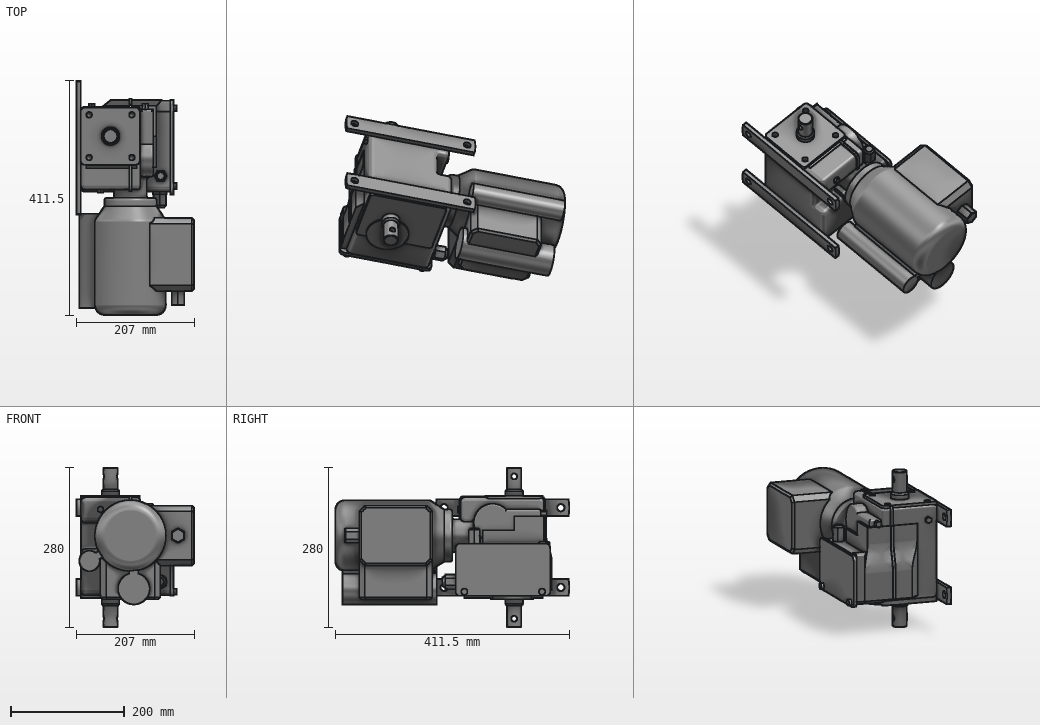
import cadquery as cq
import math

SHAFT_DIAMETER = 25.5
SHAFT_LENGTH = 280
SHAFT_END_CHAMFER = 1
COLLAR_DIAMETER = 31.5
COLLAR_REACH = 102.5
COLLAR_CHAMFER_HEIGHT = 3.5
COLLAR_CHAMFER_WIDTH = 2.9
CROSS_HOLE_DIAMETER = 10
CROSS_HOLE_Z = 125

BAR_THICKNESS = 8
BAR_HEIGHT = 30
BAR_LENGTH = 235
BAR_END_BULGE = 1.5
BAR_CENTER_Y = -20.5
BAR_Z = 70
BAR_HOLE_SPACING = 205
BAR_HOLE_DIAMETER = 12.5

CASE_LEFT = -52
CASE_RIGHT = 52.5
CASE_BACK = 52
CASE_FRONT_UPPER = -94
CASE_FRONT_LOWER = -98
CASE_TOP = 88
CASE_BOTTOM = -84
CASE_FILLET = 9
CASE_TOP_FILLET = 7
CASE_RIGHT_FILLET = 6
CASE_SIDE_FILLET = 8
NOTCH_BOTTOM = -2.5
NOTCH_TOP = 43.5
NOTCH_WALL_Y = -72
NOTCH_CORNER_RADIUS = 4

TOP_FACE_Z = 91
BOTTOM_FACE_Z = -89
PAD_X = (-52, 51)
PAD_BACK = 50
TOP_PAD_FRONT = -50
BOTTOM_PAD_FRONT = -88
PAD_CORNER_RADIUS = 6
PAD_BURIED_Z = 76
PAD_BLEND_SHOULDER = (2, 1)
PAD_BLEND_REACH = 6
BOLT_HOLE_SPACING = 75
BOLT_HOLE_DIAMETER = 10
BOLT_HOLE_DEPTH = 15
DRILL_TIP_ANGLE = 31

BOTTOM_BOSS_RADIUS = 37.5
BOTTOM_BOSS_CENTER = (35, -3.5)
BOTTOM_BOSS_Z = -91

BULGE_BASE_X = (-14, 80)
BULGE_BACK_X = (0.5, 90)
BULGE_TOP = 55
BULGE_CURVE_TOP = 25
BULGE_CURVE_BOTTOM = -25
BULGE_BOTTOM = -75
BULGE_UPPER_HEIGHT = 1.5

SEAM_RIB_X = 32.5
SEAM_RIB_WIDTH = 5
SEAM_RIB_HEIGHT = 2.5

HOUSING_RIGHT = 105
HOUSING_FRONT = -98
HOUSING_LEFT = 45
HOUSING_NOTCH_LEFT = 0
HOUSING_BOTTOM = -84
HOUSING_TOP = 6
HOUSING_FILLET = 9.5
RIDGE_FRONT = 43
RIDGE_BACK = 62.5
RIDGE_TOP = 10
RIDGE_FILLET = 3
COVER_THICKNESS = 6
COVER_BACK = 63.5
COVER_FRONT = -103
COVER_BOTTOM = -85
COVER_TOP = 7
COVER_CORNER_RADIUS = 8
COVER_SCREW_RADIUS = 5.5
COVER_SCREW_HEIGHT = 5
COVER_SCREW_Y = (49, -87.5)
COVER_SCREW_Z = -77.5

BEARING_BOSS_RADIUS = 33
BEARING_BOSS_Y = -38
BEARING_BOSS_Z = 44
BEARING_BOSS_RIGHT = 75
BEARING_BOSS_FILLET = 3
SHOULDER_BACK = 47
SHOULDER_TOP = 67
SHOULDER_FILLET = 3.5
STEP_RIGHT = 80
STEP_FRONT = -55
STEP_TOP = 30

MOTOR_X = 35
MOTOR_Z = 21
MOTOR_RADIUS = 62.5
MOTOR_END_Y = -314.5
MOTOR_END_FILLET = 18
MOTOR_CONE_START_Y = -150
MOTOR_CONE_LIP_Y = -146.5
MOTOR_CONE_LIP_RADIUS = 61.5
FLANGE_RADIUS = 46
FLANGE_REAR_Y = -123
FLANGE_FACE_Y = -108.5
FLANGE_FILLET = 4.5
NECK_RADIUS = 29
NECK_FILLET = 2.5
NECK_ROOT_FILLET = 5
NECK_BURIED_Y = -60

TERMINAL_BOX_WIDTH = 105.5
TERMINAL_BOX_LENGTH = 128.5
TERMINAL_BOX_REACH = 112
TERMINAL_BOX_CENTER_Y = -208
TERMINAL_BOX_CORNER_CHAMFER = 10
TERMINAL_BOX_LID_CHAMFER = 4

TUBE_FRONT_Y = -302
TUBE_BACK_Y = -136
SMALL_TUBE_RADIUS = 18
SMALL_TUBE_CENTER = (-37, -23.5)
LARGE_TUBE_RADIUS = 27.8
LARGE_TUBE_CENTER = (41, -72.3)
SMALL_TUBE_WEB = 13
LARGE_TUBE_WEB = 16

HEX_TURN = 30
GLAND_FLATS = 22.5
MOTOR_GLAND_X = 118.5
MOTOR_GLAND_LENGTH = 25
MOTOR_GLAND_CHAMFER = 1
CASE_GLAND_X = 86.5
CASE_GLAND_Z = -60
CASE_GLAND_LENGTH = 23
CASE_GLAND_NOSE_LENGTH = 5
CASE_GLAND_COLLAR_RADIUS = 12
CASE_GLAND_COLLAR_LENGTH = 4.5
CASE_GLAND_NOSE_RADIUS = 7.5
PLUG_FLATS = 19
PLUG_CENTER = (88, -70)
PLUG_TOP = 34
PLUG_NOSE_RADIUS = 6.5
PLUG_NOSE_LENGTH = 3
CASE_BOLT_FLATS = 10
FRONT_BOLT_X = -17.5
FRONT_BOLT_Z = 67
REAR_BOLT_X = (-33, 61)
BOLT_HEAD_HEIGHT = 5
REAR_BOLT_Z = 60
REAR_BOLT_BURIED_Y = 40


def block(x_range, y_range, z_range):
    """Axis-aligned box between the given limits."""
    sizes = [high - low for low, high in (x_range, y_range, z_range)]
    corner = (x_range[0], y_range[0], z_range[0])
    return cq.Workplane("XY").box(*sizes, centered=False).translate(corner)


def cylinder(start, direction, radius, length):
    solid = cq.Solid.makeCylinder(radius, length, cq.Vector(*start), cq.Vector(*direction))
    return cq.Workplane(obj=solid)


def hex_prism_y(x, z, start_y, flats, length, chamfer=0.0):
    """Hexagonal prism pointing toward -Y, with flats on its +X and -X sides."""
    prism = (
        cq.Workplane("XZ", origin=(x, start_y, z))
        .transformed(rotate=(0, 0, HEX_TURN))
        .polygon(6, flats / math.cos(math.radians(HEX_TURN)))
        .extrude(length)
    )
    return prism.faces("<Y").chamfer(chamfer) if chamfer else prism


def make_bar(z):
    half_straight = BAR_LENGTH / 2 - BAR_END_BULGE
    half_length = BAR_LENGTH / 2
    half_height = BAR_HEIGHT / 2
    return (
        cq.Workplane("YZ", origin=(CASE_LEFT - BAR_THICKNESS, BAR_CENTER_Y, z))
        .moveTo(-half_straight, -half_height)
        .lineTo(half_straight, -half_height)
        .threePointArc((half_length, 0), (half_straight, half_height))
        .lineTo(-half_straight, half_height)
        .threePointArc((-half_length, 0), (-half_straight, -half_height))
        .close()
        .extrude(BAR_THICKNESS)
        .faces("<X")
        .workplane(origin=(0, BAR_CENTER_Y, z))
        .pushPoints([(-BAR_HOLE_SPACING / 2, 0), (BAR_HOLE_SPACING / 2, 0)])
        .hole(BAR_HOLE_DIAMETER)
    )


def make_case():
    """Gear case with a notch that clears the motor neck, rounded along its outer edges."""
    profile = [
        (CASE_BACK, CASE_BOTTOM),
        (CASE_BACK, CASE_TOP),
        (CASE_FRONT_UPPER, CASE_TOP),
        (CASE_FRONT_UPPER, NOTCH_TOP),
        (NOTCH_WALL_Y, NOTCH_TOP),
        (NOTCH_WALL_Y, NOTCH_BOTTOM),
        (CASE_FRONT_LOWER, NOTCH_BOTTOM),
        (CASE_FRONT_LOWER, CASE_BOTTOM),
    ]
    case = (
        cq.Workplane("YZ", origin=(CASE_LEFT, 0, 0))
        .polyline(profile)
        .close()
        .extrude(CASE_RIGHT - CASE_LEFT)
    )
    middle_x = (CASE_LEFT + CASE_RIGHT) / 2
    inner = [(middle_x, NOTCH_WALL_Y, z) for z in (NOTCH_TOP, NOTCH_BOTTOM)]
    for point in inner:
        case = case.edges(cq.selectors.NearestToPointSelector(point)).fillet(NOTCH_CORNER_RADIUS)
    outer = [(y, z) for y, z in profile if y != NOTCH_WALL_Y]
    for y, z in outer:
        radius = CASE_TOP_FILLET if z == CASE_TOP else CASE_FILLET
        case = case.edges(cq.selectors.NearestToPointSelector((middle_x, y, z))).fillet(radius)
    right_top_edge = (CASE_RIGHT, 0, CASE_TOP)
    case = case.edges(cq.selectors.NearestToPointSelector(right_top_edge)).fillet(CASE_RIGHT_FILLET)
    return case.faces("<X").edges().fillet(CASE_SIDE_FILLET)


def make_pad(front, buried_z, face_z):
    """Flat mounting pad with rounded corners, sunk into the case."""
    z_range = (min(buried_z, face_z), max(buried_z, face_z))
    return block(PAD_X, (front, PAD_BACK), z_range).edges("|Z").fillet(PAD_CORNER_RADIUS)


def make_pad_blend():
    """Concave blend that carries the front edge of the top pad down onto the case."""
    shoulder_reach, shoulder_drop = PAD_BLEND_SHOULDER
    height = TOP_FACE_Z - CASE_TOP
    shoulder = (TOP_PAD_FRONT - shoulder_reach, TOP_FACE_Z - shoulder_drop)
    blend_end = (TOP_PAD_FRONT - PAD_BLEND_REACH, CASE_TOP)
    return (
        cq.Workplane("YZ", origin=(CASE_LEFT + CASE_FILLET, 0, 0))
        .moveTo(TOP_PAD_FRONT, CASE_TOP - height)
        .lineTo(TOP_PAD_FRONT, TOP_FACE_Z)
        .lineTo(*shoulder)
        .radiusArc(blend_end, -PAD_BLEND_REACH)
        .lineTo(blend_end[0], CASE_TOP - height)
        .close()
        .extrude(CASE_RIGHT - CASE_RIGHT_FILLET - CASE_LEFT - CASE_FILLET)
    )


def make_bolt_holes():
    """Blind drilled holes in the top face, each with a conical tip."""
    radius = BOLT_HOLE_DIAMETER / 2
    tip_depth = radius * math.tan(math.radians(DRILL_TIP_ANGLE))
    hole = (
        cq.Workplane("XZ")
        .polyline([(0, 0), (radius, 0), (radius, -BOLT_HOLE_DEPTH), (0, -BOLT_HOLE_DEPTH - tip_depth)])
        .close()
        .revolve(360, (0, 0), (0, 1))
    )
    holes = cq.Workplane("XY")
    for x in (-BOLT_HOLE_SPACING / 2, BOLT_HOLE_SPACING / 2):
        for y in (-BOLT_HOLE_SPACING / 2, BOLT_HOLE_SPACING / 2):
            holes = holes.add(hole.translate((x, y, TOP_FACE_Z)))
    return holes.combine()


def make_shaft():
    shaft = (
        cq.Workplane("XY")
        .circle(SHAFT_DIAMETER / 2)
        .extrude(SHAFT_LENGTH / 2, both=True)
        .faces("<Z or >Z")
        .chamfer(SHAFT_END_CHAMFER)
    )
    collar = (
        cq.Workplane("XY")
        .circle(COLLAR_DIAMETER / 2)
        .extrude(COLLAR_REACH, both=True)
        .faces("<Z or >Z")
        .chamfer(COLLAR_CHAMFER_HEIGHT, COLLAR_CHAMFER_WIDTH)
    )
    shaft = shaft.union(collar)
    for z in (-CROSS_HOLE_Z, CROSS_HOLE_Z):
        hole_start = (-SHAFT_DIAMETER, 0, z)
        shaft = shaft.cut(cylinder(hole_start, (1, 0, 0), CROSS_HOLE_DIAMETER / 2, 2 * SHAFT_DIAMETER))
    return shaft


def bulge_side(raise_by):
    """Solid with the curved side outline of the rear cover, its back raised by a given amount."""
    upper_y = CASE_BACK + BULGE_UPPER_HEIGHT + raise_by
    lower_y = COVER_BACK + raise_by
    return (
        cq.Workplane("YZ", origin=(CASE_LEFT, 0, 0))
        .moveTo(0, BULGE_TOP)
        .lineTo(upper_y, BULGE_TOP)
        .lineTo(upper_y, BULGE_CURVE_TOP)
        .spline([(lower_y, BULGE_CURVE_BOTTOM)], tangents=[(0, -1), (0, -1)], includeCurrent=True)
        .lineTo(lower_y, BULGE_BOTTOM)
        .lineTo(0, BULGE_BOTTOM)
        .close()
        .extrude(HOUSING_RIGHT - CASE_LEFT)
    )


def make_rear_bulge():
    """Raised cover on the back of the case: a plan outline crossed with a curved side outline."""
    plan = (
        cq.Workplane("XY", origin=(0, 0, BULGE_BOTTOM))
        .moveTo(BULGE_BASE_X[0], 0)
        .lineTo(BULGE_BASE_X[0], CASE_BACK)
        .lineTo(BULGE_BACK_X[0], COVER_BACK)
        .lineTo(BULGE_BACK_X[1], COVER_BACK)
        .lineTo(BULGE_BASE_X[1], CASE_BACK)
        .lineTo(BULGE_BASE_X[1], 0)
        .close()
        .extrude(BULGE_TOP - BULGE_BOTTOM)
    )
    return plan.intersect(bulge_side(0))


def make_seam_rib():
    """Thin parting rib around the top, front and back of the case."""
    rib_x = (SEAM_RIB_X, SEAM_RIB_X + SEAM_RIB_WIDTH)
    case_rib = block(
        rib_x,
        (CASE_FRONT_UPPER - SEAM_RIB_HEIGHT, CASE_BACK + SEAM_RIB_HEIGHT),
        (NOTCH_TOP, CASE_TOP + SEAM_RIB_HEIGHT),
    ).edges("|X").fillet(CASE_FILLET)
    slice_block = block(rib_x, (0, COVER_BACK + SEAM_RIB_HEIGHT), (BULGE_BOTTOM, BULGE_TOP))
    return case_rib.union(bulge_side(SEAM_RIB_HEIGHT).intersect(slice_block))


def make_side_housing():
    """Housing beside the case with its cover plate, bearing boss, shoulder, step and rear ridge."""
    buried_bottom = HOUSING_BOTTOM + HOUSING_FILLET
    housing = (
        block((HOUSING_LEFT, HOUSING_RIGHT), (HOUSING_FRONT, CASE_BACK), (HOUSING_BOTTOM, HOUSING_TOP))
        .edges("|X")
        .fillet(HOUSING_FILLET)
    )
    cover = (
        block(
            (HOUSING_RIGHT, HOUSING_RIGHT + COVER_THICKNESS),
            (COVER_FRONT, COVER_BACK),
            (COVER_BOTTOM, COVER_TOP),
        )
        .edges("|X")
        .fillet(COVER_CORNER_RADIUS)
    )
    boss = cylinder(
        (CASE_RIGHT, BEARING_BOSS_Y, BEARING_BOSS_Z),
        (1, 0, 0),
        BEARING_BOSS_RADIUS,
        BEARING_BOSS_RIGHT - CASE_RIGHT,
    ).faces("<X or >X").fillet(BEARING_BOSS_FILLET)
    shoulder = (
        block(
            (CASE_RIGHT, BEARING_BOSS_RIGHT),
            (BEARING_BOSS_Y, SHOULDER_BACK),
            (buried_bottom, SHOULDER_TOP),
        )
        .faces(">Z")
        .edges("|Y or >Y")
        .fillet(SHOULDER_FILLET)
    )
    notch_block = (
        block(
            (HOUSING_NOTCH_LEFT, HOUSING_LEFT),
            (HOUSING_FRONT, NOTCH_WALL_Y),
            (buried_bottom, HOUSING_TOP),
        )
        .edges("<Y and >Z")
        .fillet(HOUSING_FILLET)
    )
    bulge_slope = (BULGE_BACK_X[1] - BULGE_BASE_X[1]) / (COVER_BACK - CASE_BACK)
    ridge_tip_x = BULGE_BASE_X[1] + bulge_slope * (RIDGE_BACK - CASE_BACK)
    ridge = (
        cq.Workplane("XY", origin=(0, 0, BULGE_BOTTOM))
        .moveTo(HOUSING_RIGHT, RIDGE_FRONT)
        .lineTo(BULGE_BASE_X[1], RIDGE_FRONT)
        .lineTo(BULGE_BASE_X[1], CASE_BACK)
        .lineTo(ridge_tip_x, RIDGE_BACK)
        .lineTo(HOUSING_RIGHT, RIDGE_BACK)
        .close()
        .extrude(RIDGE_TOP - BULGE_BOTTOM)
        .edges("|X and >Z")
        .fillet(RIDGE_FILLET)
    )
    step = block((CASE_RIGHT, STEP_RIGHT), (STEP_FRONT, SHOULDER_BACK), (buried_bottom, STEP_TOP))
    housing = housing.union(cover).union(boss).union(shoulder).union(step)
    housing = housing.union(notch_block).union(ridge)
    for y in COVER_SCREW_Y:
        start = (HOUSING_RIGHT, y, COVER_SCREW_Z)
        housing = housing.union(
            cylinder(start, (1, 0, 0), COVER_SCREW_RADIUS, COVER_THICKNESS + COVER_SCREW_HEIGHT)
        )
    return housing


def make_motor():
    profile = (
        cq.Workplane("XY")
        .moveTo(0, NECK_BURIED_Y)
        .lineTo(NECK_RADIUS + NECK_ROOT_FILLET, NECK_BURIED_Y)
        .lineTo(NECK_RADIUS + NECK_ROOT_FILLET, NOTCH_WALL_Y)
        .radiusArc((NECK_RADIUS, NOTCH_WALL_Y - NECK_ROOT_FILLET), -NECK_ROOT_FILLET)
        .lineTo(NECK_RADIUS, FLANGE_FACE_Y + NECK_FILLET)
        .radiusArc((NECK_RADIUS + NECK_FILLET, FLANGE_FACE_Y), -NECK_FILLET)
        .lineTo(FLANGE_RADIUS - FLANGE_FILLET, FLANGE_FACE_Y)
        .radiusArc((FLANGE_RADIUS, FLANGE_FACE_Y - FLANGE_FILLET), FLANGE_FILLET)
        .lineTo(FLANGE_RADIUS, FLANGE_REAR_Y)
        .lineTo(MOTOR_CONE_LIP_RADIUS, MOTOR_CONE_LIP_Y)
        .lineTo(MOTOR_RADIUS, MOTOR_CONE_START_Y)
        .lineTo(MOTOR_RADIUS, MOTOR_END_Y + MOTOR_END_FILLET)
        .radiusArc((MOTOR_RADIUS - MOTOR_END_FILLET, MOTOR_END_Y), MOTOR_END_FILLET)
        .lineTo(0, MOTOR_END_Y)
        .close()
    )
    return profile.revolve(360, (0, 0), (0, 1)).translate((MOTOR_X, 0, MOTOR_Z))


def make_terminal_box(turn):
    """Chamfered box reaching from the motor axis toward +X, turned about that axis by `turn`."""
    box = (
        cq.Workplane("YZ", origin=(0, TERMINAL_BOX_CENTER_Y, 0))
        .rect(TERMINAL_BOX_LENGTH, TERMINAL_BOX_WIDTH)
        .extrude(TERMINAL_BOX_REACH)
        .edges("|X")
        .chamfer(TERMINAL_BOX_CORNER_CHAMFER)
        .faces(">X")
        .chamfer(TERMINAL_BOX_LID_CHAMFER)
    )
    return box.rotate((0, 0, 0), (0, 1, 0), turn).translate((MOTOR_X, 0, MOTOR_Z))


def make_tube(center, radius, web_width, web_target_x):
    """Capacitor tube with a flat web joining it to the motor."""
    x, z = center
    length = TUBE_BACK_Y - TUBE_FRONT_Y
    tube = cylinder((x, TUBE_FRONT_Y, z), (0, 1, 0), radius, length)
    run = web_target_x - x
    rise = MOTOR_Z - z
    web_back = MOTOR_CONE_START_Y
    web = (
        block((0, math.hypot(run, rise)), (TUBE_FRONT_Y, web_back), (-web_width / 2, web_width / 2))
        .rotate((0, 0, 0), (0, 1, 0), -math.degrees(math.atan2(rise, run)))
        .translate((x, 0, z))
    )
    return tube.union(web)


def make_plug():
    """Hexagonal oil plug standing on the side housing, with a tapered nose."""
    nose_z = PLUG_TOP - PLUG_NOSE_LENGTH
    plug = (
        cq.Workplane("XY", origin=(*PLUG_CENTER, HOUSING_TOP))
        .polygon(6, PLUG_FLATS / math.cos(math.radians(HEX_TURN)))
        .extrude(nose_z - HOUSING_TOP)
    )
    nose = cq.Solid.makeCone(
        PLUG_FLATS / 2, PLUG_NOSE_RADIUS, PLUG_NOSE_LENGTH, cq.Vector(*PLUG_CENTER, nose_z)
    )
    return plug.union(cq.Workplane(obj=nose))


def make_case_gland():
    """Hexagonal cable gland on the front of the side housing, with a tapered nose."""
    gland = hex_prism_y(CASE_GLAND_X, CASE_GLAND_Z, HOUSING_FRONT, GLAND_FLATS, CASE_GLAND_LENGTH)
    nose = cq.Solid.makeCone(
        GLAND_FLATS / 2,
        CASE_GLAND_NOSE_RADIUS,
        CASE_GLAND_NOSE_LENGTH,
        cq.Vector(CASE_GLAND_X, HOUSING_FRONT - CASE_GLAND_LENGTH, CASE_GLAND_Z),
        cq.Vector(0, -1, 0),
    )
    collar = cylinder(
        (CASE_GLAND_X, HOUSING_FRONT, CASE_GLAND_Z),
        (0, -1, 0),
        CASE_GLAND_COLLAR_RADIUS,
        CASE_GLAND_COLLAR_LENGTH,
    )
    return gland.union(cq.Workplane(obj=nose)).union(collar)


def make_gearmotor():
    body = make_case().union(make_seam_rib())
    body = body.union(make_pad(TOP_PAD_FRONT, PAD_BURIED_Z, TOP_FACE_Z))
    body = body.union(make_pad(BOTTOM_PAD_FRONT, -PAD_BURIED_Z, BOTTOM_FACE_Z))
    body = body.union(make_pad_blend())
    body = body.union(make_rear_bulge()).union(make_side_housing())
    body = body.union(
        cylinder((*BOTTOM_BOSS_CENTER, BOTTOM_BOSS_Z), (0, 0, 1), BOTTOM_BOSS_RADIUS, -BOTTOM_BOSS_Z)
    )
    body = body.cut(make_bolt_holes()).union(make_shaft()).union(make_motor())
    for turn in (0, 90):
        body = body.union(make_terminal_box(turn))
    body = body.union(make_tube(SMALL_TUBE_CENTER, SMALL_TUBE_RADIUS, SMALL_TUBE_WEB, MOTOR_X))
    body = body.union(
        make_tube(LARGE_TUBE_CENTER, LARGE_TUBE_RADIUS, LARGE_TUBE_WEB, LARGE_TUBE_CENTER[0])
    )

    box_end = TERMINAL_BOX_CENTER_Y - TERMINAL_BOX_LENGTH / 2
    motor_gland = hex_prism_y(
        MOTOR_GLAND_X, MOTOR_Z, box_end, GLAND_FLATS, MOTOR_GLAND_LENGTH, MOTOR_GLAND_CHAMFER
    )
    body = body.union(motor_gland).union(make_case_gland()).union(make_plug())
    body = body.union(
        hex_prism_y(FRONT_BOLT_X, FRONT_BOLT_Z, CASE_FRONT_UPPER, CASE_BOLT_FLATS, BOLT_HEAD_HEIGHT)
    )
    rear_bolt_end = CASE_BACK + BOLT_HEAD_HEIGHT
    for x in REAR_BOLT_X:
        bolt_length = rear_bolt_end - REAR_BOLT_BURIED_Y
        body = body.union(hex_prism_y(x, REAR_BOLT_Z, rear_bolt_end, CASE_BOLT_FLATS, bolt_length))
    return body


gearmotor = make_gearmotor()
mounting_bars = [make_bar(z) for z in (-BAR_Z, BAR_Z)]

result = cq.Compound.makeCompound([gearmotor.val(), *[bar.val() for bar in mounting_bars]])